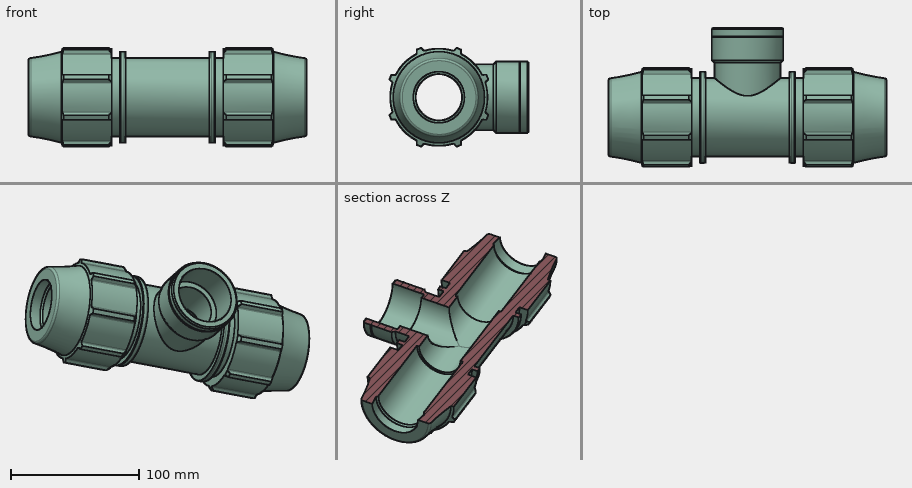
import cadquery as cq
import math

RUN_LENGTH = 217.0
TUBE_DIAMETER = 61.5
BORE_DIAMETER = 36.0
PIPE_SOCKET_DIAMETER = 40.0
MOUTH_INNER_RADIUS = 21.2
MOUTH_DEPTH = 8.8
MOUTH_TAPER_LENGTH = 1.6

FLANGE_DIAMETER = 71.34
FLANGE_INNER_X = 32.7
FLANGE_WIDTH = 4.5
FLANGE_INNER_BEVEL = 1.3
FLANGE_OUTER_BEVEL = 0.65
FLANGE_BEVEL_DROP = 0.3

NUT_RADIUS = 38.0
NUT_INNER_X = 43.5
NUT_OUTER_X = 82.7
NUT_FACE_RADIUS = 35.6
NUT_FACE_SETBACK = 1.6
RIB_COUNT = 8
RIB_HEIGHT_Z = 77.16 / 2
RIB_TOP_HALF_WIDTH = 1.9
RIB_FLANK_ANGLE = 22.5
RIB_ROOT_FILLET = 0.7
RIB_END_CHAMFER = 2.4

COLLAR_END_RADIUS = 30.4
COLLAR_FILLET = 1.9
COLLAR_HOLLOW = 0.5

BRANCH_END_Y = 70.0
NECK_DIAMETER = 51.57
SOCKET_DIAMETER = 56.06
SOCKET_BORE_DIAMETER = 44.84
SOCKET_BASE_Y = 42.5
SOCKET_END_CHAMFER = 1.2
GROOVE_Y = 62.6
GROOVE_WIDTH = 0.8
GROOVE_DEPTH = 0.4

HALF_LENGTH = RUN_LENGTH / 2
PIPE_STOP_X = FLANGE_INNER_X
HALF_PITCH = 180.0 / RIB_COUNT
RIB_TOP_RADIUS = (
    RIB_HEIGHT_Z - RIB_TOP_HALF_WIDTH * math.sin(math.radians(HALF_PITCH))
) / math.cos(math.radians(HALF_PITCH))
RIB_CORNER_RADIUS = math.hypot(RIB_TOP_RADIUS, RIB_TOP_HALF_WIDTH)


def x_cylinder(diameter, start, length):
    return cq.Workplane("YZ").workplane(offset=start).circle(diameter / 2).extrude(length)


def y_cylinder(diameter, start, end):
    return cq.Workplane("XZ").workplane(offset=-end).circle(diameter / 2).extrude(end - start)


def about_x(profile):
    """Revolve a profile of (x, radius) points about the X axis."""
    return profile.close().revolve(360, (0, 0, 0), (1, 0, 0))


def polar(radius, angle):
    """Point in the YZ plane at an angle in radians measured from +Y."""
    return (radius * math.cos(angle), radius * math.sin(angle))


def root_fillet(axis, side):
    """Fillet points on the nut cylinder, mid-arc and on the flank; side is -1 or +1."""
    flare = math.radians(RIB_FLANK_ANGLE)
    flank_distance = RIB_TOP_HALF_WIDTH * math.cos(flare) + RIB_TOP_RADIUS * math.sin(flare)
    centre_radius = NUT_RADIUS + RIB_ROOT_FILLET
    centre_offset = math.asin((flank_distance + RIB_ROOT_FILLET) / centre_radius) - flare
    centre = polar(centre_radius, axis + side * centre_offset)
    to_cylinder = axis + side * centre_offset + math.pi
    to_flank = axis + side * (math.pi / 2 - flare) + math.pi
    points = []
    for direction in (to_cylinder, (to_cylinder + to_flank) / 2, to_flank):
        reach = polar(RIB_ROOT_FILLET, direction)
        points.append((centre[0] + reach[0], centre[1] + reach[1]))
    return points


def add_rib(profile, axis):
    """Extend the nut outline by one valley and the rib after it."""
    top_offset = math.asin(RIB_TOP_HALF_WIDTH / RIB_CORNER_RADIUS)
    first_root, first_middle, first_flank = root_fillet(axis, -1)
    last_root, last_middle, last_flank = root_fillet(axis, 1)
    valley_middle = polar(NUT_RADIUS, axis - math.radians(HALF_PITCH))
    return (
        profile.threePointArc(valley_middle, first_root)
        .threePointArc(first_middle, first_flank)
        .lineTo(*polar(RIB_CORNER_RADIUS, axis - top_offset))
        .lineTo(*polar(RIB_CORNER_RADIUS, axis + top_offset))
        .lineTo(*last_flank)
        .threePointArc(last_middle, last_root)
    )


def nut():
    axes = [math.radians((2 * index + 1) * HALF_PITCH) for index in range(RIB_COUNT)]
    start = root_fillet(axes[-1], 1)[0]
    profile = cq.Workplane("YZ").workplane(offset=NUT_INNER_X).moveTo(*start)
    for axis in axes:
        profile = add_rib(profile, axis)
    body = profile.close().extrude(NUT_OUTER_X - NUT_INNER_X)
    envelope = about_x(
        cq.Workplane("XY")
        .moveTo(NUT_INNER_X, 0)
        .lineTo(NUT_OUTER_X, 0)
        .lineTo(NUT_OUTER_X, NUT_FACE_RADIUS)
        .lineTo(NUT_OUTER_X - NUT_FACE_SETBACK, RIB_CORNER_RADIUS)
        .lineTo(NUT_INNER_X + RIB_END_CHAMFER, RIB_CORNER_RADIUS)
        .lineTo(NUT_INNER_X, RIB_CORNER_RADIUS - RIB_END_CHAMFER)
    )
    return body.intersect(envelope)


def collar():
    """Flared, slightly hollow taper from the nut face to the rounded mouth of the fitting."""
    middle = (
        (NUT_OUTER_X + HALF_LENGTH) / 2,
        (NUT_FACE_RADIUS + COLLAR_END_RADIUS) / 2 - COLLAR_HOLLOW,
    )
    taper = about_x(
        cq.Workplane("XY")
        .moveTo(NUT_OUTER_X, 0)
        .lineTo(NUT_OUTER_X, NUT_FACE_RADIUS)
        .threePointArc(middle, (HALF_LENGTH, COLLAR_END_RADIUS))
        .lineTo(HALF_LENGTH, 0)
    )
    return taper.faces(">X").edges().fillet(COLLAR_FILLET)


def flange():
    """Ring around the tube with its rim bevelled on both sides."""
    outer_x = FLANGE_INNER_X + FLANGE_WIDTH
    rim_radius = FLANGE_DIAMETER / 2
    shoulder_radius = rim_radius - FLANGE_BEVEL_DROP
    return about_x(
        cq.Workplane("XY")
        .moveTo(FLANGE_INNER_X, 0)
        .lineTo(FLANGE_INNER_X, shoulder_radius)
        .lineTo(FLANGE_INNER_X + FLANGE_INNER_BEVEL, rim_radius)
        .lineTo(outer_x - FLANGE_OUTER_BEVEL, rim_radius)
        .lineTo(outer_x, shoulder_radius)
        .lineTo(outer_x, 0)
    )


def run_end():
    return flange().union(nut()).union(collar())


def branch():
    """Neck and socket along +Y, with a marking groove around the socket."""
    socket_radius = SOCKET_DIAMETER / 2
    neck_radius = NECK_DIAMETER / 2
    base_chamfer = socket_radius - neck_radius
    groove_radius = socket_radius - GROOVE_DEPTH
    return (
        cq.Workplane("XY")
        .lineTo(neck_radius, 0)
        .lineTo(neck_radius, SOCKET_BASE_Y)
        .lineTo(socket_radius, SOCKET_BASE_Y + base_chamfer)
        .lineTo(socket_radius, GROOVE_Y)
        .lineTo(groove_radius, GROOVE_Y)
        .lineTo(groove_radius, GROOVE_Y + GROOVE_WIDTH)
        .lineTo(socket_radius, GROOVE_Y + GROOVE_WIDTH)
        .lineTo(socket_radius, BRANCH_END_Y - SOCKET_END_CHAMFER)
        .lineTo(socket_radius - SOCKET_END_CHAMFER, BRANCH_END_Y)
        .lineTo(0, BRANCH_END_Y)
        .close()
        .revolve(360, (0, 0, 0), (0, 1, 0))
    )


def half_bore():
    """Half of the run bore, from the centre out to the +X mouth, with its pipe socket."""
    bore_radius = BORE_DIAMETER / 2
    socket_radius = PIPE_SOCKET_DIAMETER / 2
    return about_x(
        cq.Workplane("XY")
        .lineTo(HALF_LENGTH, 0)
        .lineTo(HALF_LENGTH, socket_radius)
        .lineTo(HALF_LENGTH - MOUTH_DEPTH, MOUTH_INNER_RADIUS)
        .lineTo(HALF_LENGTH - MOUTH_DEPTH - MOUTH_TAPER_LENGTH, socket_radius)
        .lineTo(PIPE_STOP_X, socket_radius)
        .lineTo(PIPE_STOP_X, bore_radius)
        .lineTo(0, bore_radius)
    )


def mirrored_pair(half):
    return half.union(half.mirror("YZ"))


tube = x_cylinder(TUBE_DIAMETER, -NUT_INNER_X, 2 * NUT_INNER_X)
branch_bore = y_cylinder(SOCKET_BORE_DIAMETER, SOCKET_BASE_Y, BRANCH_END_Y)
branch_bore = branch_bore.union(y_cylinder(BORE_DIAMETER, 0, BRANCH_END_Y))

result = tube.union(mirrored_pair(run_end())).union(branch())
result = result.cut(mirrored_pair(half_bore())).cut(branch_bore)